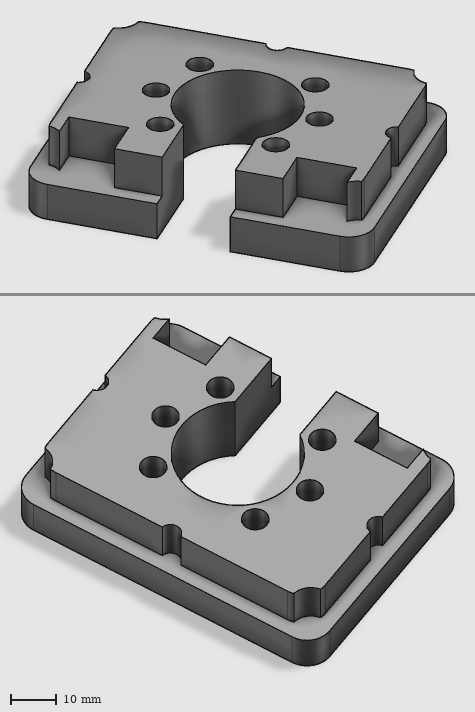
import cadquery as cq

plate_length = 80.0
plate_width = 60.0
plate_thickness = 9.0
plate_corner_radius = 6.0

block_inset = 3.5
block_height = 10.0
block_corner_radius = 6.0
block_length = plate_length - 2 * block_inset
block_width = plate_width - 2 * block_inset
total_height = plate_thickness + block_height

notch_inset = 3.0
notch_x = plate_length / 2 - notch_inset
notch_y = plate_width / 2 - notch_inset
corner_notch_radius = 5.0
side_notch_radius = 2.5

bore_radius = 14.65
slot_width = 17.0

bolt_hole_diameter = 6.0
bolt_circle_radius = 19.0
bolt_angles = (0, 45, 135, 180, 225, 315)

pocket_inner_x = 19.6
pocket_outer_x = 33.45
pocket_back_y = -17.0


def make_plate():
    """Flat base with rounded vertical corners."""
    plate = cq.Workplane("XY").rect(plate_length, plate_width).extrude(plate_thickness)
    return plate.edges("|Z").fillet(plate_corner_radius)


def block_level():
    """Work plane on top of the base plate."""
    return cq.Workplane("XY").workplane(offset=plate_thickness)


def make_notches():
    """Cylinders that cut the block corners and the middles of three sides."""
    corners = [(sx * notch_x, sy * notch_y) for sx in (-1, 1) for sy in (-1, 1)]
    sides = [(-notch_x, 0), (notch_x, 0), (0, notch_y)]
    corner_cuts = block_level().pushPoints(corners).circle(corner_notch_radius).extrude(block_height)
    side_cuts = block_level().pushPoints(sides).circle(side_notch_radius).extrude(block_height)
    return corner_cuts.union(side_cuts)


def make_pockets():
    """Pair of mirrored rectangular cuts, open at the front of the block."""
    size_x = pocket_outer_x - pocket_inner_x
    size_y = pocket_back_y + plate_width / 2
    center_x = (pocket_inner_x + pocket_outer_x) / 2
    center_y = pocket_back_y - size_y / 2
    centers = [(-center_x, center_y), (center_x, center_y)]
    return block_level().pushPoints(centers).rect(size_x, size_y).extrude(block_height)


def make_block():
    """Raised block with rounded corners, notches and front pockets."""
    block = block_level().rect(block_length, block_width).extrude(block_height)
    block = block.edges("|Z").fillet(block_corner_radius)
    return block.cut(make_notches()).cut(make_pockets())


def make_keyhole():
    """Round bore joined to a straight slot that leaves through the front."""
    bore = cq.Workplane("XY").circle(bore_radius).extrude(total_height)
    slot_length = plate_width / 2
    slot = (
        cq.Workplane("XY")
        .center(0, -slot_length / 2)
        .rect(slot_width, slot_length)
        .extrude(total_height)
    )
    return bore.union(slot)


def make_bolt_holes():
    """Through holes placed by angle on the bolt circle."""
    holes = cq.Workplane("XY")
    for angle in bolt_angles:
        hole = (
            cq.Workplane("XY")
            .transformed(rotate=(0, 0, angle))
            .center(bolt_circle_radius, 0)
            .circle(bolt_hole_diameter / 2)
            .extrude(total_height)
        )
        holes = holes.add(hole)
    return holes.combine()


body = make_plate().union(make_block())
result = body.cut(make_keyhole()).cut(make_bolt_holes())